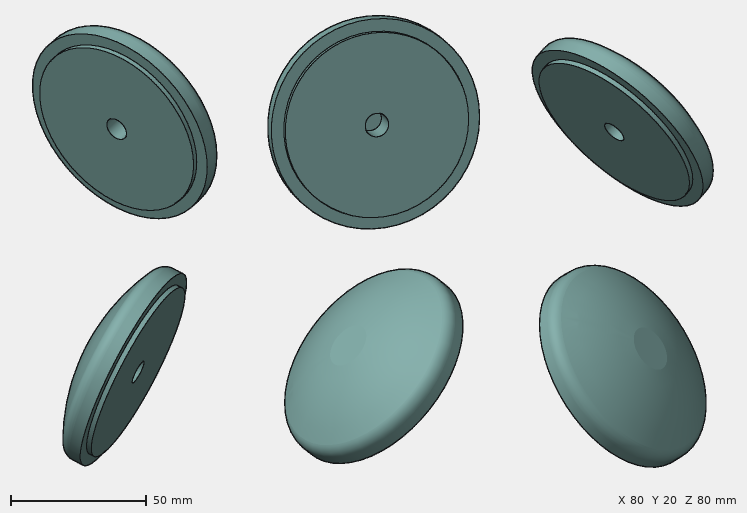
import cadquery as cq
import math

outer_radius = 40.0
total_depth = 20.0

spigot_radius = 35.2
spigot_depth = 2.0
rim_depth = 4.5

shoulder_radius = 5.0

flat_cap_height = 0.5

hole_diameter = 9.0
hole_depth = 10.0

front_y = -total_depth / 2
rim_front_y = front_y + spigot_depth
rim_back_y = rim_front_y + rim_depth
flat_y = front_y + total_depth
dome_top_y = flat_y + flat_cap_height

shoulder_centre_x = outer_radius - shoulder_radius
shoulder_drop = dome_top_y - rim_back_y
dome_radius = (shoulder_centre_x**2 + shoulder_drop**2 - shoulder_radius**2) / (
    2 * (shoulder_drop - shoulder_radius)
)
dome_centre_y = dome_top_y - dome_radius

tangent_angle = math.atan2(shoulder_centre_x, rim_back_y - dome_centre_y)

flat_edge_angle = math.acos((flat_y - dome_centre_y) / dome_radius)


def dome_point(angle):
    """Point on the dome profile at an angle from the Y axis."""
    return (
        dome_radius * math.sin(angle),
        dome_centre_y + dome_radius * math.cos(angle),
    )


def shoulder_point(angle):
    """Point on the shoulder arc at an angle from the Y direction."""
    return (
        shoulder_centre_x + shoulder_radius * math.sin(angle),
        rim_back_y + shoulder_radius * math.cos(angle),
    )


def make_body():
    """Turn the half profile about the Y axis."""
    shoulder_middle_angle = (tangent_angle + math.pi / 2) / 2
    dome_middle_angle = (tangent_angle + flat_edge_angle) / 2
    return (
        cq.Workplane("XY")
        .moveTo(0, front_y)
        .lineTo(spigot_radius, front_y)
        .lineTo(spigot_radius, rim_front_y)
        .lineTo(outer_radius, rim_front_y)
        .lineTo(outer_radius, rim_back_y)
        .threePointArc(shoulder_point(shoulder_middle_angle), dome_point(tangent_angle))
        .threePointArc(dome_point(dome_middle_angle), dome_point(flat_edge_angle))
        .lineTo(0, flat_y)
        .close()
        .revolve(360, (0, 0), (0, 1))
    )


def make_hole():
    """Cylinder that runs from the front face into the body."""
    return (
        cq.Workplane("XZ", origin=(0, front_y, 0))
        .circle(hole_diameter / 2)
        .extrude(-hole_depth)
    )


result = make_body().cut(make_hole())